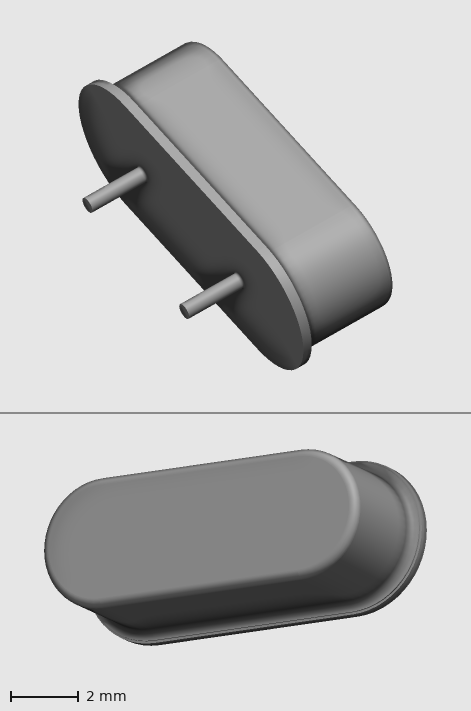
import cadquery as cq

FLANGE_LENGTH = 11.35
FLANGE_WIDTH = 4.65
FLANGE_THICKNESS = 0.3
FLANGE_LIP = 0.35
BODY_DEPTH = 3.6
CAN_EDGE_RADIUS = 0.25
CAN_FOOT_RADIUS = 0.26
SKIRT_OVERHANG = 0.28
SKIRT_THICKNESS = 0.05
LEAD_PITCH = 4.88
LEAD_DIAMETER = 0.5
LEAD_LENGTH = 2.0
LEAD_FOOT_RADIUS = 0.05
SEAL_DIAMETER = 1.2

CAN_LENGTH = FLANGE_LENGTH - 2 * FLANGE_LIP
CAN_WIDTH = FLANGE_WIDTH - 2 * FLANGE_LIP
LEAD_POSITIONS = (-LEAD_PITCH / 2, LEAD_PITCH / 2)


def flange_face():
    """Workplane on the outer flange face, with its normal along +Y."""
    return cq.Workplane(cq.Plane(origin=(0, 0, 0), xDir=(1, 0, 0), normal=(0, 1, 0)))


def rounded_slab(length, width, depth):
    """Slab with fully rounded ends, standing on the flange face."""
    return flange_face().slot2D(length, width).extrude(depth)


def make_body():
    """Can with a rounded closed end and a concave foot, standing on its skirt and the flange."""
    can = rounded_slab(CAN_LENGTH, CAN_WIDTH, BODY_DEPTH)
    can = can.faces(">Y").edges().fillet(CAN_EDGE_RADIUS)
    skirt_top = FLANGE_THICKNESS + SKIRT_THICKNESS
    skirt = rounded_slab(CAN_LENGTH + 2 * SKIRT_OVERHANG, CAN_WIDTH + 2 * SKIRT_OVERHANG, skirt_top)
    can = can.union(skirt)
    shelf = can.faces(cq.selectors.NearestToPointSelector((0, skirt_top, 0))).val()
    foot_edges = shelf.innerWires()[0].Edges()
    can = can.newObject(foot_edges).fillet(CAN_FOOT_RADIUS)
    return rounded_slab(FLANGE_LENGTH, FLANGE_WIDTH, FLANGE_THICKNESS).union(can)


def make_seal(x):
    """Disc that fills the flange around a lead."""
    return flange_face().center(x, 0).circle(SEAL_DIAMETER / 2).extrude(FLANGE_THICKNESS)


def make_lead(x):
    """Revolved lead with a concave foot that sits on the flange face."""
    radius = LEAD_DIAMETER / 2
    foot = LEAD_FOOT_RADIUS
    profile = (
        cq.Workplane("YZ")
        .lineTo(0, radius + foot)
        .radiusArc((-foot, radius), foot)
        .lineTo(-LEAD_LENGTH, radius)
        .lineTo(-LEAD_LENGTH, 0)
        .close()
    )
    return profile.revolve(360, (0, 0), (1, 0)).translate((x, 0, 0))


result = make_body()
for lead_x in LEAD_POSITIONS:
    seal = make_seal(lead_x)
    result = result.cut(seal, clean=False).union(seal, clean=False)
    result = result.union(make_lead(lead_x), clean=False)